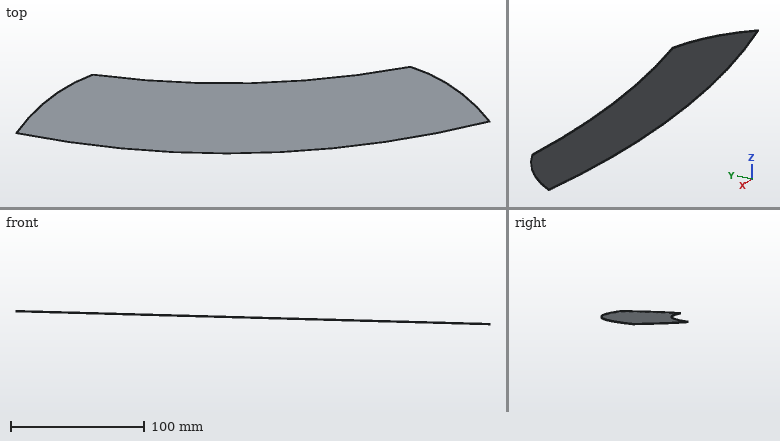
import cadquery as cq
import math

outer_radius = 822.0
plate_width = 52.7
thickness = 0.6
outer_half_span = 177.65
inner_half_span = 119.2
end_radius = 121.0

turn_about_z = 1.41
tilt_about_y = 1.568

outer_edge_x = -0.2
outer_edge_y = -32.4

inner_radius = outer_radius - plate_width


def edge_height(radius, half_span):
    """Height of a long edge above the middle of the outer edge, at a given half span."""
    return outer_radius - math.sqrt(radius**2 - half_span**2)


def end_arc_middle(outer_corner, inner_corner):
    """Middle point of the +X end arc, bulging away from the plate."""
    run = outer_corner[0] - inner_corner[0]
    rise = inner_corner[1] - outer_corner[1]
    chord = math.hypot(run, rise)
    bulge = end_radius - math.sqrt(end_radius**2 - (chord / 2) ** 2)
    middle_x = (outer_corner[0] + inner_corner[0]) / 2 + bulge * rise / chord
    middle_y = (outer_corner[1] + inner_corner[1]) / 2 + bulge * run / chord
    return middle_x, middle_y


def mirrored(point):
    """The matching point on the other side of the plate's symmetry line."""
    return -point[0], point[1]


def flat_plate():
    """The plate lying flat, with its mid-plane at Z = 0."""
    outer_corner = (outer_half_span, edge_height(outer_radius, outer_half_span))
    inner_corner = (inner_half_span, edge_height(inner_radius, inner_half_span))
    end_middle = end_arc_middle(outer_corner, inner_corner)
    outline = (
        cq.Workplane("XY")
        .moveTo(*mirrored(outer_corner))
        .threePointArc((0, 0), outer_corner)
        .threePointArc(end_middle, inner_corner)
        .threePointArc((0, plate_width), mirrored(inner_corner))
        .threePointArc(mirrored(end_middle), mirrored(outer_corner))
        .close()
    )
    return outline.extrude(thickness / 2, both=True)


origin = (0, 0, 0)
turned_plate = flat_plate().rotate(origin, (0, 0, 1), turn_about_z)
placed_plate = turned_plate.translate((outer_edge_x, outer_edge_y, 0))
result = placed_plate.rotate(origin, (0, 1, 0), tilt_about_y)